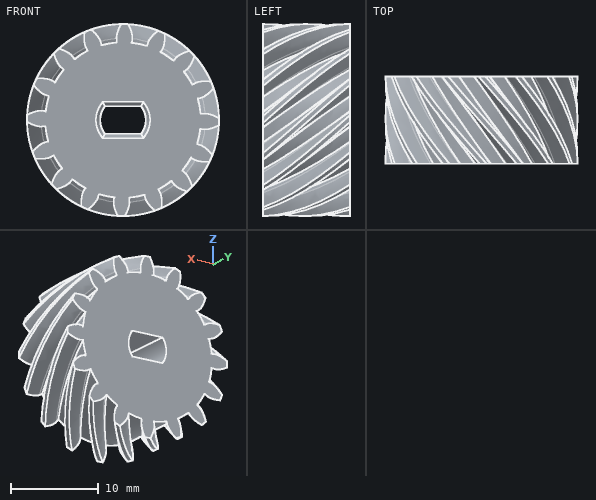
import cadquery as cq
import math

teeth = 16
tip_radius = 11.0
face_width = 10.0
pitch_radius = 10.0
root_radius = 8.9
pressure_angle = math.radians(20)
pitch_half_angle = math.radians(4.7)
phase = math.radians(-1)
twist = -45.8

bore_diameter = 5.2
bore_flat_width = 3.12
bore_chamfer = 0.5

involute_steps = 6

front_plane = cq.Plane(origin=(0, 0, 0), xDir=(1, 0, 0), normal=(0, -1, 0))

pitch_angle = 2 * math.pi / teeth
base_radius = pitch_radius * math.cos(pressure_angle)


def polar(radius, angle):
    return (radius * math.cos(angle), radius * math.sin(angle))


def involute_angle(radius):
    """Polar angle of an involute, measured from its start on the base circle."""
    pressure = math.acos(min(1.0, base_radius / radius))
    return math.tan(pressure) - pressure


base_half_angle = pitch_half_angle + involute_angle(pitch_radius)


def flank(center, side):
    """Points of one involute flank, from the base circle out to the tip."""
    tip_roll = math.sqrt((tip_radius / base_radius) ** 2 - 1)
    points = []
    for step in range(involute_steps + 1):
        roll = tip_roll * step / involute_steps
        radius = base_radius * math.sqrt(1 + roll ** 2)
        half_angle = base_half_angle - involute_angle(radius)
        points.append(polar(radius, center + side * half_angle))
    return points


def gear_outline():
    """Closed tooth outline: radial roots, involute flanks, arcs at tips and roots."""
    first = math.pi / 2 + phase
    outline = cq.Workplane(front_plane).moveTo(*polar(root_radius, first - base_half_angle))
    for index in range(teeth):
        center = first + index * pitch_angle
        rising = flank(center, -1)
        falling = flank(center, 1)[::-1]
        next_root = center + pitch_angle - base_half_angle
        outline = (
            outline.lineTo(*rising[0])
            .spline(rising[1:], includeCurrent=True)
            .threePointArc(polar(tip_radius, center), falling[0])
            .spline(falling[1:], includeCurrent=True)
            .lineTo(*polar(root_radius, center + base_half_angle))
            .threePointArc(polar(root_radius, center + pitch_angle / 2), polar(root_radius, next_root))
        )
    return outline.close()


def bore():
    """Round hole with two flats, right through the gear."""
    front = cq.Workplane(front_plane)
    round_part = front.circle(bore_diameter / 2).extrude(-face_width)
    flat_part = front.rect(bore_diameter, bore_flat_width).extrude(-face_width)
    return round_part.intersect(flat_part)


def bore_mouth():
    """Chamfer at the front of the bore: a cone for the round sides, a wedge for the flats."""
    mouth_radius = bore_diameter / 2 + bore_chamfer
    mouth_half_width = bore_flat_width / 2 + bore_chamfer
    cone = cq.Solid.makeCone(
        mouth_radius, bore_diameter / 2, bore_chamfer, pnt=cq.Vector(0, 0, 0), dir=cq.Vector(0, 1, 0)
    )
    wedge = (
        cq.Workplane("YZ")
        .moveTo(0, -mouth_half_width)
        .lineTo(0, mouth_half_width)
        .lineTo(bore_chamfer, bore_flat_width / 2)
        .lineTo(bore_chamfer, -bore_flat_width / 2)
        .close()
        .extrude(mouth_radius, both=True)
    )
    return wedge.intersect(cq.Workplane(cone))


gear = gear_outline().twistExtrude(-face_width, twist)
result = gear.cut(bore()).cut(bore_mouth())